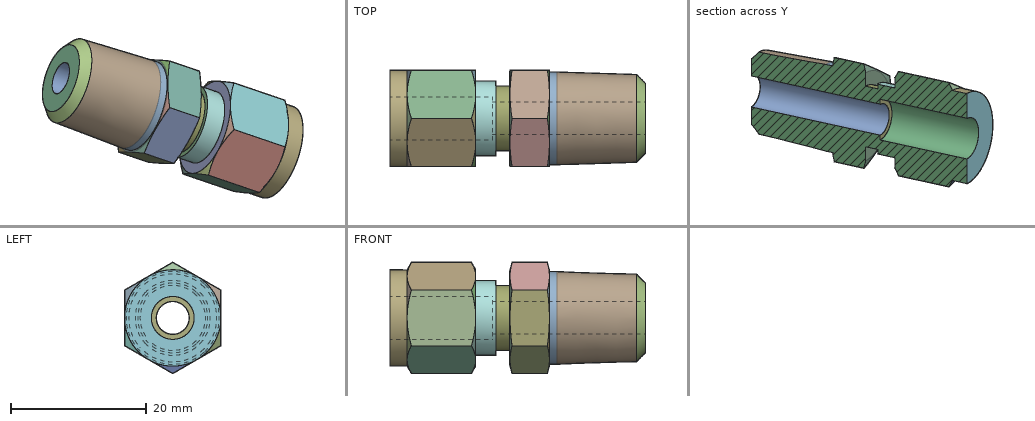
import cadquery as cq
import math

TOTAL_LENGTH = 37.84
ACROSS_FLATS = 14.28
ACROSS_CORNERS = ACROSS_FLATS / math.cos(math.radians(30))

COLLAR_END = 2.54
NUT_END = 12.7
SHOULDER_END = 15.7
NECK_END = 17.73
HEX_END = 23.6
RELIEF_END = 24.7
THREAD_END = 36.5

COLLAR_DIAMETER = ACROSS_FLATS
SHOULDER_DIAMETER = 11.1
NECK_DIAMETER = 9.65
THREAD_DIAMETER = 13.77
TAPER_RATIO = 1 / 16
TIP_CHAMFER_ANGLE = 45

NUT_CHAMFER_ANGLE = 30
HEX_CHAMFER_ANGLE = 15
HEX_NECK_FACE_DIAMETER = 13.9

BORE_DIAMETER = 4.83
SOCKET_DIAMETER = 6.35
SOCKET_DEPTH = 15.2


def revolve_profile(points):
    """Solid of revolution about X from (x, radius) points, closed along the axis."""
    closed = [(points[0][0], 0)] + points + [(points[-1][0], 0)]
    return cq.Workplane("XY").polyline(closed).close().revolve(360, (0, 0, 0), (1, 0, 0))


def cylinder(start, end, diameter):
    return revolve_profile([(start, diameter / 2), (end, diameter / 2)])


def chamfered_hexagon(start, end, start_diameter, end_diameter, chamfer_angle):
    """Hexagonal prism, corners up and down, turned by a cone at each end to a round end face."""
    prism = (
        cq.Workplane("YZ")
        .workplane(offset=start)
        .transformed(rotate=(0, 0, 90))
        .polygon(6, ACROSS_CORNERS)
        .extrude(end - start)
    )
    slope = math.tan(math.radians(chamfer_angle))
    outer_radius = ACROSS_CORNERS / 2
    start_radius = start_diameter / 2
    end_radius = end_diameter / 2
    envelope = revolve_profile([
        (start, start_radius),
        (start + (outer_radius - start_radius) * slope, outer_radius),
        (end - (outer_radius - end_radius) * slope, outer_radius),
        (end, end_radius),
    ])
    return prism.intersect(envelope)


def tapered_thread():
    """Plain thread envelope: short cylinder, taper, and tip chamfer."""
    root_radius = THREAD_DIAMETER / 2
    small_radius = root_radius - (THREAD_END - RELIEF_END) * TAPER_RATIO / 2
    tip_length = TOTAL_LENGTH - THREAD_END
    tip_radius = small_radius - tip_length * math.tan(math.radians(TIP_CHAMFER_ANGLE))
    return revolve_profile([
        (HEX_END, root_radius),
        (RELIEF_END, root_radius),
        (THREAD_END, small_radius),
        (TOTAL_LENGTH, tip_radius),
    ])


def passage():
    """Through bore with a wider tube socket at the nut end."""
    bore = cylinder(0, TOTAL_LENGTH, BORE_DIAMETER)
    socket = cylinder(0, SOCKET_DEPTH, SOCKET_DIAMETER)
    return bore.union(socket)


nut = cylinder(0, COLLAR_END, COLLAR_DIAMETER).union(
    chamfered_hexagon(COLLAR_END, NUT_END, ACROSS_FLATS, ACROSS_FLATS, NUT_CHAMFER_ANGLE)
)
shoulder = cylinder(NUT_END, SHOULDER_END, SHOULDER_DIAMETER)
neck = cylinder(SHOULDER_END, NECK_END, NECK_DIAMETER)
body_hexagon = chamfered_hexagon(
    NECK_END, HEX_END, HEX_NECK_FACE_DIAMETER, ACROSS_FLATS, HEX_CHAMFER_ANGLE
)

outside = nut.union(shoulder).union(neck).union(body_hexagon).union(tapered_thread())
result = outside.cut(passage())